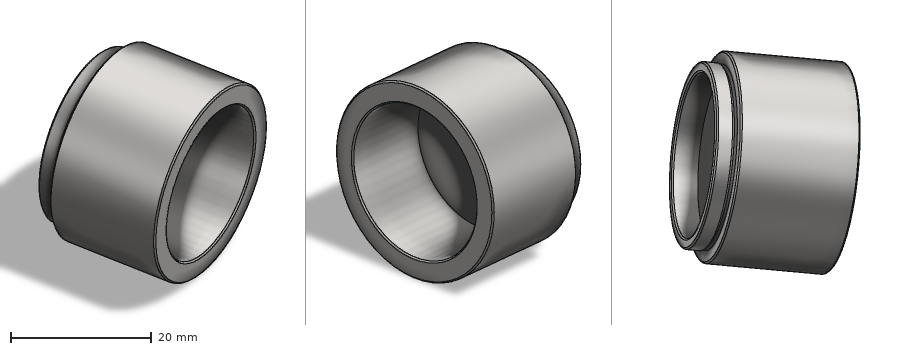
import cadquery as cq
import math

total_length = 20.7
barrel_radius = 15.25
collar_length = 3.02
collar_radius = 13.47
edge_chamfer = 0.25

groove_start = 2.3
groove_bottom = 2.68
groove_bottom_radius = 13.0
groove_end_radius = 13.38

bore_radius = 11.92
bore_chamfer = 0.25

lens_edge_x = 3.85
lens_edge_thickness = 3.05
lens_dome_height = 0.9


def revolve_about_x(profile):
    """Turn a closed profile, drawn as (X, radius), once around the X axis."""
    return profile.close().revolve(360, (0, 0, 0), (1, 0, 0))


def make_housing():
    mouth_radius = bore_radius + bore_chamfer
    profile = (
        cq.Workplane("XY")
        .moveTo(0, mouth_radius)
        .lineTo(0, collar_radius - edge_chamfer)
        .lineTo(edge_chamfer, collar_radius)
        .lineTo(groove_start, collar_radius)
        .lineTo(groove_bottom, groove_bottom_radius)
        .lineTo(collar_length, groove_end_radius)
        .lineTo(collar_length, barrel_radius - edge_chamfer)
        .lineTo(collar_length + edge_chamfer, barrel_radius)
        .lineTo(total_length - edge_chamfer, barrel_radius)
        .lineTo(total_length, barrel_radius - edge_chamfer)
        .lineTo(total_length, mouth_radius)
        .lineTo(total_length - bore_chamfer, bore_radius)
        .lineTo(bore_chamfer, bore_radius)
    )
    return revolve_about_x(profile)


def make_lens():
    dome_radius = (bore_radius**2 + lens_dome_height**2) / (2 * lens_dome_height)
    apex_x = lens_edge_x - lens_dome_height
    half_angle = math.asin(bore_radius / dome_radius) / 2
    arc_middle = (
        apex_x + dome_radius * (1 - math.cos(half_angle)),
        dome_radius * math.sin(half_angle),
    )
    back_x = lens_edge_x + lens_edge_thickness
    profile = (
        cq.Workplane("XY")
        .moveTo(apex_x, 0)
        .threePointArc(arc_middle, (lens_edge_x, bore_radius))
        .lineTo(back_x, bore_radius)
        .lineTo(back_x, 0)
    )
    return revolve_about_x(profile)


housing = make_housing()
lens = make_lens()

result = cq.Compound.makeCompound([housing.val(), lens.val()])